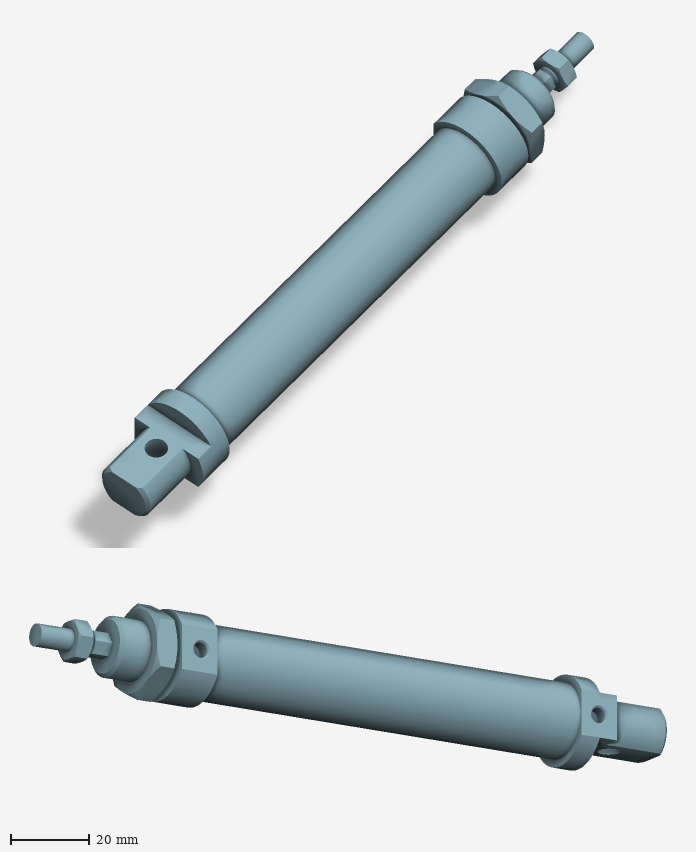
import cadquery as cq
import math

TOTAL_LENGTH = 186.0
REAR_END = -TOTAL_LENGTH / 2
ROD_TIP = TOTAL_LENGTH / 2

TUBE_DIAMETER = 19.9
CAP_DIAMETER = 24.0
CAP_FLAT_OFFSET = 10.5
NECK_DIAMETER = 16.0
END_CHAMFER = 1.0

NECK_FACE = ROD_TIP - 21.0
FRONT_CAP_FACE = ROD_TIP - 37.5
FRONT_CAP_LENGTH = 10.8
FRONT_CAP_BACK = FRONT_CAP_FACE - FRONT_CAP_LENGTH

EYE_LENGTH = 17.1
EYE_THICKNESS = 11.9
EYE_HOLE_DIAMETER = 6.0
EYE_HOLE_FROM_END = 13.0
REAR_CAP_LENGTH = 10.8
REAR_CAP_ROUND_LENGTH = 5.5
REAR_CAP_BACK = REAR_END + EYE_LENGTH
REAR_CAP_FACE = REAR_CAP_BACK + REAR_CAP_LENGTH

FRONT_PORT_Y = FRONT_CAP_FACE - 6.0
REAR_PORT_Y = REAR_CAP_FACE - REAR_CAP_LENGTH / 2
PORT_DIAMETER = 4.0
PORT_MOUTH_DIAMETER = 5.0
PORT_DEPTH = 4.0

NECK_NUT_ACROSS_CORNERS = 25.5
NECK_NUT_FACE = ROD_TIP - 29.8
NECK_NUT_THICKNESS = 6.1

ROD_THREAD_DIAMETER = 6.0
ROD_THREAD_LENGTH = 14.7
ROD_TAPER_LENGTH = 0.5
ROD_GROOVE_DIAMETER = 4.8
ROD_HEX_FACE = ROD_TIP - 16.0
ROD_HEX_ACROSS_CORNERS = 7.0

ROD_NUT_ACROSS_CORNERS = 11.5
ROD_NUT_FACE = ROD_TIP - 9.9
ROD_NUT_THICKNESS = 4.5

NUT_CHAMFER_ANGLE = math.radians(30)


def cylinder(diameter, y_start, y_end):
    """Round bar along Y between two stations, with y_start < y_end."""
    return cq.Workplane("XZ", origin=(0, y_end, 0)).circle(diameter / 2).extrude(y_end - y_start)


def hex_bar(across_corners, y_start, y_end, turn=0):
    """Hexagonal bar along Y with corners on the X axis, turned about Y by the given degrees."""
    bar = cq.Workplane("XZ", origin=(0, y_end, 0)).polygon(6, across_corners).extrude(y_end - y_start)
    return bar.rotate((0, 0, 0), (0, 1, 0), turn)


def hex_nut(across_corners, hole_diameter, y_face, thickness, turn=0):
    """Hexagonal nut whose corners are cut by a cone on both ends."""
    y_back = y_face - thickness
    corner_radius = across_corners / 2
    flat_radius = corner_radius * math.cos(math.pi / 6)
    bevel_height = (corner_radius - flat_radius) * math.tan(NUT_CHAMFER_ANGLE)
    cone_envelope = (
        cq.Workplane("XY")
        .moveTo(0, y_back)
        .lineTo(flat_radius, y_back)
        .lineTo(corner_radius, y_back + bevel_height)
        .lineTo(corner_radius, y_face - bevel_height)
        .lineTo(flat_radius, y_face)
        .lineTo(0, y_face)
        .close()
        .revolve(360, (0, 0, 0), (0, 1, 0))
    )
    blank = hex_bar(across_corners, y_back, y_face, turn).intersect(cone_envelope)
    return blank.cut(cylinder(hole_diameter, y_back, y_face))


def make_cap(y_back, y_face):
    """Round end cap with one flat on its -X side."""
    length = y_face - y_back
    flat_side = cq.Workplane("XY").box(
        CAP_DIAMETER, length, CAP_DIAMETER, centered=(False, False, True)
    ).translate((-CAP_FLAT_OFFSET - CAP_DIAMETER, y_back, 0))
    return cylinder(CAP_DIAMETER, y_back, y_face).cut(flat_side)


def make_port(y):
    """Blind port cutter that opens on the cap flat with a countersunk mouth."""
    mouth_depth = (PORT_MOUTH_DIAMETER - PORT_DIAMETER) / 2
    flat_plane = cq.Workplane("YZ", origin=(-CAP_FLAT_OFFSET, y, 0))
    bore = flat_plane.circle(PORT_DIAMETER / 2).extrude(PORT_DEPTH)
    mouth = (
        flat_plane.circle(PORT_MOUTH_DIAMETER / 2)
        .workplane(offset=mouth_depth)
        .circle(PORT_DIAMETER / 2)
        .loft()
    )
    return bore.union(mouth)


def make_rear_end():
    """Rear cap and eye, milled to a flat tongue with a cross hole."""
    cap = make_cap(REAR_CAP_BACK, REAR_CAP_FACE)
    eye = cylinder(NECK_DIAMETER, REAR_END, REAR_CAP_BACK).faces("<Y").chamfer(END_CHAMFER)
    tongue_end = REAR_CAP_FACE - REAR_CAP_ROUND_LENGTH
    tongue = cq.Workplane("XY").box(
        CAP_DIAMETER, tongue_end - REAR_END, EYE_THICKNESS, centered=(True, False, True)
    ).translate((0, REAR_END, 0))
    round_part = cylinder(CAP_DIAMETER, tongue_end, REAR_CAP_FACE)
    hole = (
        cq.Workplane("XY", origin=(0, REAR_END + EYE_HOLE_FROM_END, 0))
        .circle(EYE_HOLE_DIAMETER / 2)
        .extrude(EYE_THICKNESS, both=True)
    )
    return cap.union(eye).intersect(tongue.union(round_part)).cut(hole)


def make_housing():
    tube = cylinder(TUBE_DIAMETER, REAR_CAP_FACE, FRONT_CAP_BACK)
    front_cap = make_cap(FRONT_CAP_BACK, FRONT_CAP_FACE)
    neck = cylinder(NECK_DIAMETER, FRONT_CAP_FACE, NECK_FACE).faces(">Y").chamfer(END_CHAMFER)
    housing = make_rear_end().union(tube).union(front_cap).union(neck)
    for port_y in (REAR_PORT_Y, FRONT_PORT_Y):
        housing = housing.cut(make_port(port_y))
    return housing


def make_piston_rod():
    """Threaded tip, tapered run-out, groove and wrench hexagon that meets the neck face."""
    thread_end = ROD_TIP - ROD_THREAD_LENGTH
    thread_radius = ROD_THREAD_DIAMETER / 2
    groove_radius = ROD_GROOVE_DIAMETER / 2
    tip = (
        cq.Workplane("XY")
        .moveTo(0, ROD_TIP)
        .lineTo(thread_radius, ROD_TIP)
        .lineTo(thread_radius, thread_end)
        .lineTo(groove_radius, thread_end - ROD_TAPER_LENGTH)
        .lineTo(groove_radius, ROD_HEX_FACE)
        .lineTo(0, ROD_HEX_FACE)
        .close()
        .revolve(360, (0, 0, 0), (0, 1, 0))
    )
    return tip.union(hex_bar(ROD_HEX_ACROSS_CORNERS, NECK_FACE, ROD_HEX_FACE))


housing = make_housing()
neck_nut = hex_nut(NECK_NUT_ACROSS_CORNERS, NECK_DIAMETER, NECK_NUT_FACE, NECK_NUT_THICKNESS, turn=30)
piston_rod = make_piston_rod()
rod_nut = hex_nut(ROD_NUT_ACROSS_CORNERS, ROD_THREAD_DIAMETER, ROD_NUT_FACE, ROD_NUT_THICKNESS)

result = cq.Compound.makeCompound([housing.val(), neck_nut.val(), piston_rod.val(), rod_nut.val()])